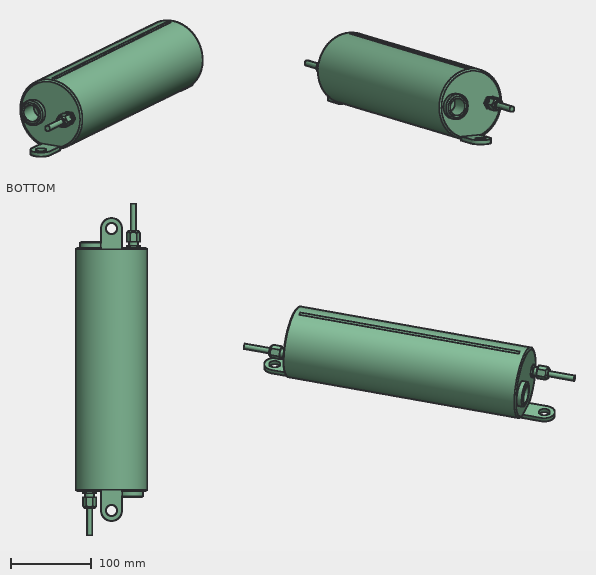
import cadquery as cq
import math

total_length = 410.0

body_diameter = 89.0
body_length = 301.0
rim_inset = 2.5
rim_taper_length = 1.5

seam_width = 5.0
seam_depth = 0.2
cap_length = 8.5

lug_width = 26.2
lug_thickness = 5.5
lug_reach = 37.0
lug_hole_diameter = 13.5

port_offset = 23.5
port_diameter = 31.5
port_length = 7.5
port_bore_diameter = 21.5
port_bore_depth = 24.5
port_inset = 2.5
port_taper_length = 1.2

gland_offset = 27.0
gland_flats = 14.5
gland_base_length = 2.5
gland_neck_diameter = 11.5
gland_neck_length = 5.0
gland_nut_length = 14.0
gland_nut_inset = 2.5
gland_nut_taper_length = 3.3
cable_diameter = 7.0

body_radius = body_diameter / 2
body_half_length = body_length / 2
gland_corners = gland_flats / math.cos(math.pi / 6)


def rod(diameter, x, y_start, length):
    """Round rod parallel to Y at z = 0, running from y_start toward -Y."""
    return cq.Workplane("XZ", origin=(x, y_start, 0)).circle(diameter / 2).extrude(length)


def hex_rod(y_start, length):
    """Hexagonal rod on the gland axis, with flats at the top and bottom."""
    section = cq.Workplane("XZ", origin=(gland_offset, y_start, 0)).polygon(6, gland_corners)
    return section.extrude(length)


def tapered_rod(diameter, x, y_start, length, inset, taper_length):
    """Round rod like rod(), with its far rim cut back by a cone."""
    radius = diameter / 2
    y_end = y_start - length
    profile = [
        (x, y_start),
        (x + radius, y_start),
        (x + radius, y_end + taper_length),
        (x + radius - inset, y_end),
        (x, y_end),
    ]
    return cq.Workplane("XY").polyline(profile).close().revolve(360, (x, 0), (x, 1))


def make_half_body():
    return tapered_rod(body_diameter, 0, 0, body_half_length, rim_inset, rim_taper_length)


def make_seam():
    """Groove cutter with a floor concentric with the body."""
    length = body_length - 2 * cap_length
    blank = cq.Workplane("XY").box(seam_width, length, body_diameter).translate((0, 0, body_radius))
    core = rod(body_diameter - 2 * seam_depth, 0, length / 2, length)
    return blank.cut(core)


def make_lug():
    """Round-ended plate with a hole, flush with the lowest line of the body."""
    root_y = -body_half_length + rim_taper_length
    tip_y = -body_half_length - lug_reach
    half_width = lug_width / 2
    hole_y = tip_y + half_width
    plane = cq.Workplane("XY", origin=(0, 0, -body_radius))
    plate = (
        plane.moveTo(-half_width, root_y)
        .lineTo(-half_width, hole_y)
        .threePointArc((0, tip_y), (half_width, hole_y))
        .lineTo(half_width, root_y)
        .close()
        .extrude(lug_thickness)
    )
    hole = plane.center(0, hole_y).circle(lug_hole_diameter / 2).extrude(lug_thickness)
    return plate.cut(hole)


def make_port():
    return tapered_rod(
        port_diameter, -port_offset, -body_half_length, port_length, port_inset, port_taper_length
    )


def make_port_bore():
    floor_y = -body_half_length - port_length + port_bore_depth
    return rod(port_bore_diameter, -port_offset, floor_y, port_bore_depth)


def make_gland():
    """Hexagonal base, round neck, hexagonal nut with a sloped end, then the cable."""
    neck_y = -body_half_length - gland_base_length
    nut_y = neck_y - gland_neck_length
    cable_y = nut_y - gland_nut_length
    base = hex_rod(-body_half_length, gland_base_length)
    neck = rod(gland_neck_diameter, gland_offset, neck_y, gland_neck_length)
    nut_envelope = tapered_rod(
        gland_corners, gland_offset, nut_y, gland_nut_length, gland_nut_inset, gland_nut_taper_length
    )
    nut = hex_rod(nut_y, gland_nut_length).intersect(nut_envelope)
    cable = rod(cable_diameter, gland_offset, cable_y, total_length / 2 + cable_y)
    return base.union(neck).union(nut).union(cable)


def on_both_ends(shape):
    return shape.union(shape.rotate((0, 0, 0), (0, 0, 1), 180))


result = on_both_ends(make_half_body()).cut(make_seam())
for fitting in (make_lug(), make_port(), make_gland()):
    result = result.union(on_both_ends(fitting))
result = result.cut(on_both_ends(make_port_bore()))